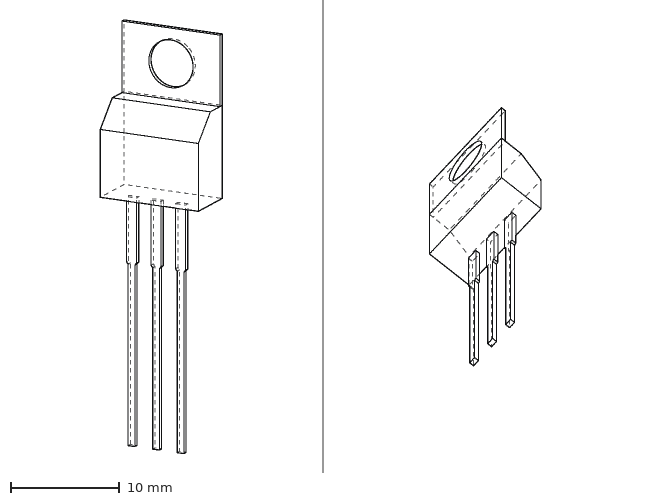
import cadquery as cq


width = 10.16
depth = 4.82
total_height = 39.61

case_height = 8.92
bevel = depth / 2

tab_height = 6.85
tab_thickness = 0.47
hole_diameter = 4.57
hole_center_z = case_height + tab_height / 2

lead_count = 3
lead_pitch = 2.54
lead_thickness = 0.48
lead_back_offset = 3.0
shank_width = 1.04
shank_length = 6.24
taper_length = 0.22
tip_width = 0.7
lead_length = total_height - case_height - tab_height


def make_case():
    """Moulded block with its top front edge bevelled at 45 degrees."""
    block = cq.Workplane("XY").box(width, depth, case_height, centered=(True, False, False))
    block = block.translate((0, -depth, 0))
    return block.faces(">Z").edges("<Y").chamfer(bevel)


def make_tab():
    """Thin plate standing on the case, flush with its back, with the mounting hole."""
    plate = cq.Workplane("XY").box(width, tab_thickness, tab_height, centered=(True, False, False))
    plate = plate.translate((0, -tab_thickness, case_height))
    hole = (
        cq.Workplane("XZ")
        .center(0, hole_center_z)
        .circle(hole_diameter / 2)
        .extrude(tab_thickness)
    )
    return plate.cut(hole)


def make_lead(center_x):
    """Flat lead: wide shank under the case, short taper, then a narrow tip."""
    shank_half = shank_width / 2
    tip_half = tip_width / 2
    taper_end = shank_length + taper_length
    return (
        cq.Workplane("XZ")
        .moveTo(-shank_half, 0)
        .lineTo(-shank_half, -shank_length)
        .lineTo(-tip_half, -taper_end)
        .lineTo(-tip_half, -lead_length)
        .lineTo(tip_half, -lead_length)
        .lineTo(tip_half, -taper_end)
        .lineTo(shank_half, -shank_length)
        .lineTo(shank_half, 0)
        .close()
        .extrude(lead_thickness)
        .translate((center_x, -lead_back_offset, 0))
    )


case = make_case()
tab = make_tab()
leads = []
for index in range(lead_count):
    offset_from_middle = index - (lead_count - 1) / 2
    leads.append(make_lead(offset_from_middle * lead_pitch))

result = cq.Compound.makeCompound([case.val(), tab.val(), *[lead.val() for lead in leads]])